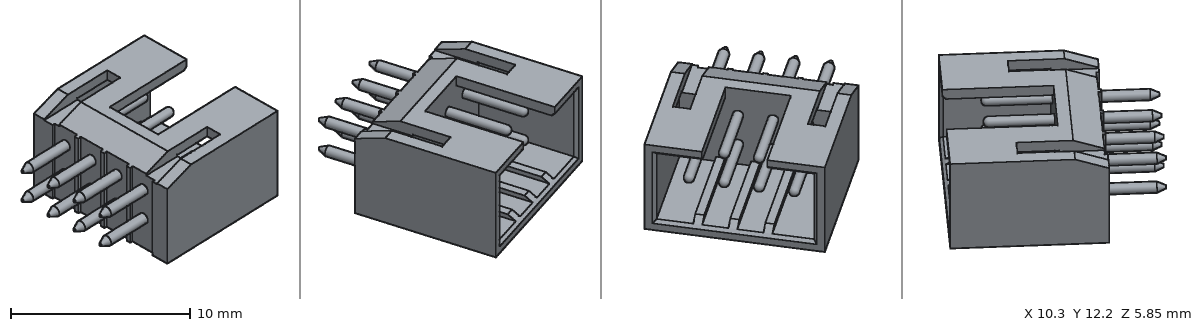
import cadquery as cq

WIDTH = 10.3
HEIGHT = 5.85
OVERALL_LENGTH = 12.2
HOUSING_LENGTH = 8.89
WALL = 0.66
CAVITY_DEPTH = 6.21
MOUTH_CHAMFER = 0.2

REAR_Y = -HOUSING_LENGTH
CAVITY_END_Y = -CAVITY_DEPTH
TOP_BEVEL_LENGTH = 1.92
TOP_BEVEL_DROP = 0.7
NOTCH_WIDTH = 3.73

SLOT_WIDTH = 1.0
SLOT_SIDE_MARGIN = 0.79
SLOT_FRONT_Y = -3.81
SLOT_DEPTH = 0.76

PIN_COLUMNS = 4
PITCH = 2.0
PIN_SHIFT_X = 0.15
UPPER_ROW_Z = HEIGHT - 1.8
ROW_HEIGHTS = (UPPER_ROW_Z, UPPER_ROW_Z - PITCH)
CONTACT_DIAMETER = 0.61
CONTACT_TIP_Y = -2.23
TAIL_DIAMETER = 0.66
TAIL_TIP_DIAMETER = 0.2
TAIL_POINT_LENGTH = 0.52
TAIL_TIP_Y = -OVERALL_LENGTH

RECESS_WIDTH = 1.71
RECESS_DEPTH = 0.17

RIB_WIDTH = 0.51
RIB_HEIGHT = 0.3
RIB_LEAD_LENGTH = 0.51
RIB_FRONT_Y = -MOUTH_CHAMFER

COLUMN_XS = [PIN_SHIFT_X + (i - (PIN_COLUMNS - 1) / 2) * PITCH for i in range(PIN_COLUMNS)]
RIB_XS = [x + PITCH / 2 for x in COLUMN_XS[:-1]]


def block(x_center, x_size, y_range, z_range):
    """Box centred at x_center that fills the given Y and Z ranges."""
    y_low, y_high = y_range
    z_low, z_high = z_range
    return (
        cq.Workplane("XY")
        .box(x_size, y_high - y_low, z_high - z_low, centered=(True, False, False))
        .translate((x_center, y_low, z_low))
    )


def side_profile(points, x_center, x_size):
    """Extrude a closed (Y, Z) outline along X, centred at x_center."""
    return (
        cq.Workplane("YZ", origin=(x_center, 0, 0))
        .polyline(points)
        .close()
        .extrude(x_size / 2, both=True)
    )


def housing_shell():
    """Housing with the rear top bevel and the chamfered cavity."""
    outline = [
        (0, 0),
        (0, HEIGHT),
        (REAR_Y + TOP_BEVEL_LENGTH, HEIGHT),
        (REAR_Y, HEIGHT - TOP_BEVEL_DROP),
        (REAR_Y, 0),
    ]
    shell = side_profile(outline, 0, WIDTH)
    shell = shell.cut(block(0, WIDTH - 2 * WALL, (CAVITY_END_Y, 0), (WALL, HEIGHT - WALL)))
    inner_mouth_edges = cq.selectors.BoxSelector(
        (-WIDTH / 2 + WALL / 2, -WALL / 2, WALL / 2),
        (WIDTH / 2 - WALL / 2, WALL / 2, HEIGHT - WALL / 2),
    )
    return shell.faces(">Y").edges(inner_mouth_edges).chamfer(MOUTH_CHAMFER)


def key_notch():
    """Opening through the top wall, from the mouth to the cavity end."""
    return block(0, NOTCH_WIDTH, (CAVITY_END_Y, 0), (HEIGHT / 2, HEIGHT))


def top_slot(side):
    x_center = side * (WIDTH / 2 - SLOT_SIDE_MARGIN - SLOT_WIDTH / 2)
    return block(x_center, SLOT_WIDTH, (REAR_Y, SLOT_FRONT_Y), (HEIGHT - SLOT_DEPTH, HEIGHT))


def rear_recess(x):
    return block(x, RECESS_WIDTH, (REAR_Y, REAR_Y + RECESS_DEPTH), (0, HEIGHT))


def guide_rib(x):
    """Floor rib with a sloped lead-in, its foot sunk into the floor."""
    foot_z = WALL / 2
    outline = [
        (CAVITY_END_Y, foot_z),
        (RIB_FRONT_Y, foot_z),
        (RIB_FRONT_Y, WALL),
        (RIB_FRONT_Y - RIB_LEAD_LENGTH, WALL + RIB_HEIGHT),
        (CAVITY_END_Y, WALL + RIB_HEIGHT),
    ]
    return side_profile(outline, x, RIB_WIDTH)


def pin(x, z):
    """Round pin: domed contact in the cavity, thicker pointed tail at the rear."""
    contact_radius = CONTACT_DIAMETER / 2
    tail_radius = TAIL_DIAMETER / 2
    tail_shoulder_y = TAIL_TIP_Y + TAIL_POINT_LENGTH
    step_y = (REAR_Y + CAVITY_END_Y) / 2
    dome_y = CONTACT_TIP_Y - contact_radius
    return (
        cq.Workplane("XY")
        .moveTo(0, TAIL_TIP_Y)
        .lineTo(TAIL_TIP_DIAMETER / 2, TAIL_TIP_Y)
        .lineTo(tail_radius, tail_shoulder_y)
        .lineTo(tail_radius, step_y)
        .lineTo(contact_radius, step_y)
        .lineTo(contact_radius, dome_y)
        .tangentArcPoint((0, CONTACT_TIP_Y), relative=False)
        .close()
        .revolve(360, (0, 0, 0), (0, 1, 0))
        .translate((x, 0, z))
    )


result = housing_shell().cut(key_notch())
for side in (-1, 1):
    result = result.cut(top_slot(side))
for x in COLUMN_XS:
    result = result.cut(rear_recess(x))
for x in RIB_XS:
    result = result.union(guide_rib(x))
for x in COLUMN_XS:
    for z in ROW_HEIGHTS:
        result = result.union(pin(x, z))